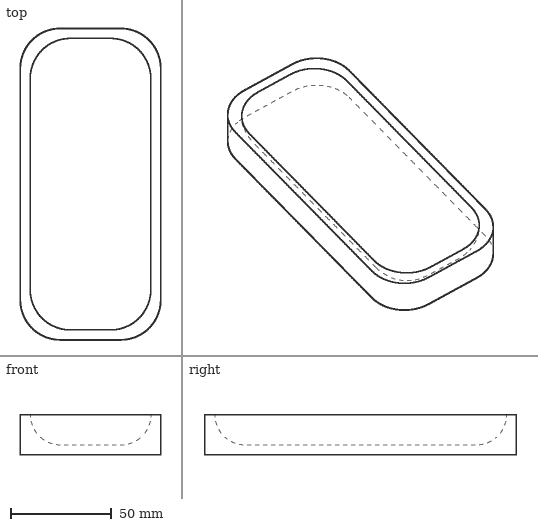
import cadquery as cq

width = 70.0
length = 155.0
height = 20.0
outer_corner_radius = 20.0

rim_width = 5.0
floor_thickness = 5.0
cavity_corner_radius = 20.0
cavity_depth = height - floor_thickness
floor_blend_radius = cavity_depth


def rounded_block(size_x, size_y, size_z, corner_radius):
    """Block centred on Z, standing on the XY plane, with rounded vertical edges."""
    block = cq.Workplane("XY").box(size_x, size_y, size_z, centered=(True, True, False))
    return block.edges("|Z").fillet(corner_radius)


def cavity_cutter():
    """Solid filling the cavity; it rises above the rim so that the top is cut cleanly."""
    cutter = rounded_block(
        width - 2 * rim_width,
        length - 2 * rim_width,
        height,
        cavity_corner_radius,
    )
    cutter = cutter.faces("<Z").edges().fillet(floor_blend_radius)
    return cutter.translate((0, 0, floor_thickness))


tray = rounded_block(width, length, height, outer_corner_radius)
result = tray.cut(cavity_cutter())